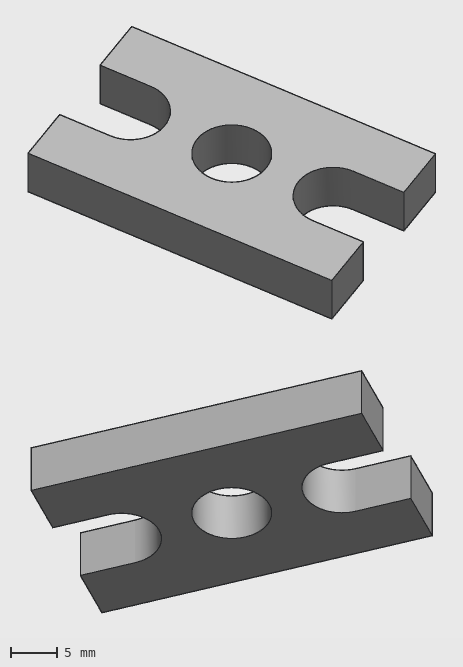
import cadquery as cq

length = 38.1
width = 22.2
thickness = 6.0

hole_diameter = 8.65
slot_depth = 10.65


def end_slot(side):
    """Round-bottomed slot, open at the end of the plate on the given side (-1 or +1) of X."""
    return (
        cq.Workplane("XY")
        .center(side * length / 2, 0)
        .slot2D(2 * slot_depth, hole_diameter)
        .extrude(thickness)
    )


plate = cq.Workplane("XY").box(length, width, thickness, centered=(True, True, False))
result = plate.faces(">Z").workplane().hole(hole_diameter)

for side in (-1, 1):
    result = result.cut(end_slot(side))